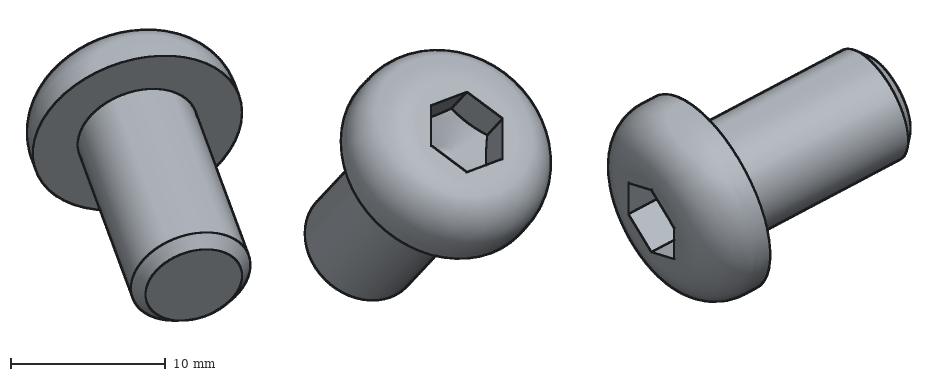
import cadquery as cq
import math

total_length = 18.4
head_height = 4.4
head_diameter = 14.0
head_face_diameter = 7.3
shank_diameter = 8.0
tip_chamfer = 0.77
socket_width = 5.0
socket_depth = 2.6
socket_cone_angle = 120.0

head_radius = head_diameter / 2
head_face_radius = head_face_diameter / 2
shank_radius = shank_diameter / 2
shank_length = total_length - head_height
dome_radius = head_radius - head_face_radius
dome_start_x = -head_height + dome_radius
dome_offset = dome_radius * math.sqrt(0.5)
socket_corner_diameter = socket_width / math.cos(math.pi / 6)
socket_corner_radius = socket_corner_diameter / 2


def screw_body():
    """Revolve the half profile of the domed head and chamfered shank."""
    dome_middle = (dome_start_x - dome_offset, head_face_radius + dome_offset)
    return (
        cq.Workplane("XY")
        .moveTo(-head_height, 0)
        .lineTo(-head_height, head_face_radius)
        .threePointArc(dome_middle, (dome_start_x, head_radius))
        .lineTo(0, head_radius)
        .lineTo(0, shank_radius)
        .lineTo(shank_length - tip_chamfer, shank_radius)
        .lineTo(shank_length, shank_radius - tip_chamfer)
        .lineTo(shank_length, 0)
        .close()
        .revolve(360, (0, 0, 0), (1, 0, 0))
    )


def hex_socket():
    """Hexagonal prism, corners at +Z and -Z, ending in a cone."""
    cone_height = socket_corner_radius / math.tan(math.radians(socket_cone_angle / 2))
    cone_base_x = -head_height + socket_depth
    cone_tip_x = cone_base_x + cone_height
    prism = (
        cq.Workplane("YZ", origin=(-head_height, 0, 0))
        .transformed(rotate=(0, 0, 90))
        .polygon(6, socket_corner_diameter)
        .extrude(socket_depth + cone_height)
    )
    pointed_cylinder = (
        cq.Workplane("XY")
        .moveTo(-head_height, 0)
        .lineTo(-head_height, socket_corner_radius)
        .lineTo(cone_base_x, socket_corner_radius)
        .lineTo(cone_tip_x, 0)
        .close()
        .revolve(360, (0, 0, 0), (1, 0, 0))
    )
    return prism.intersect(pointed_cylinder)


result = screw_body().cut(hex_socket())